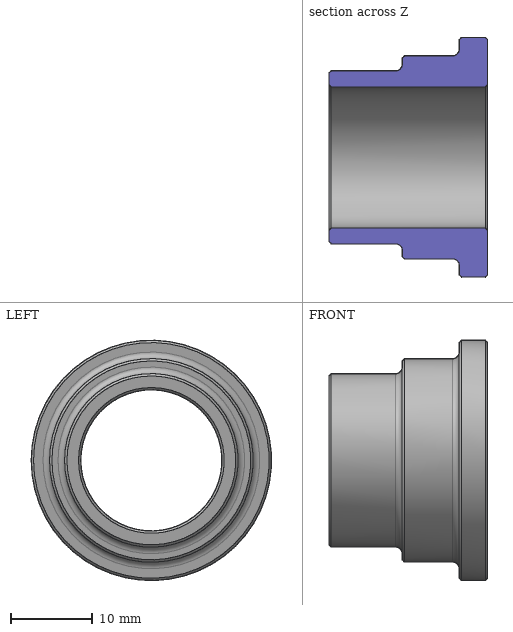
import cadquery as cq

length = 19.5
flange_diameter = 29.5
shoulder_diameter = 25.0
sleeve_diameter = 21.3
bore_diameter = 17.3
flange_thickness = 3.5
shoulder_length = 7.0
edge_chamfer = 0.3
root_fillet = 0.8

flange_face_x = length - flange_thickness
shoulder_face_x = flange_face_x - shoulder_length


def disc(start_x, end_x, diameter):
    """Solid cylinder along X with both rims chamfered."""
    cylinder = cq.Workplane("YZ", origin=(start_x, 0, 0)).circle(diameter / 2).extrude(end_x - start_x)
    return cylinder.edges("%CIRCLE").chamfer(edge_chamfer)


def root_ring(face_x, diameter):
    """Ring with a concave quarter-round that fills the corner between a cylinder and a face."""
    radius = diameter / 2
    inner_radius = radius - edge_chamfer
    back_x = face_x + edge_chamfer
    return (
        cq.Workplane("XY")
        .moveTo(face_x - root_fillet, inner_radius)
        .lineTo(face_x - root_fillet, radius)
        .radiusArc((face_x, radius + root_fillet), -root_fillet)
        .lineTo(back_x, radius + root_fillet)
        .lineTo(back_x, inner_radius)
        .close()
        .revolve(360, (0, 0, 0), (1, 0, 0))
    )


overlap_x = length - flange_thickness / 2
body = disc(flange_face_x, length, flange_diameter)
body = body.union(disc(shoulder_face_x, overlap_x, shoulder_diameter))
body = body.union(disc(0, overlap_x, sleeve_diameter))

body = body.union(root_ring(flange_face_x, shoulder_diameter))
body = body.union(root_ring(shoulder_face_x, sleeve_diameter))

bore = cq.Workplane("YZ").circle(bore_diameter / 2).extrude(length)
body = body.cut(bore)
bore_mouth = cq.selectors.RadiusNthSelector(0)
result = body.faces("<X or >X").edges(bore_mouth).chamfer(edge_chamfer)